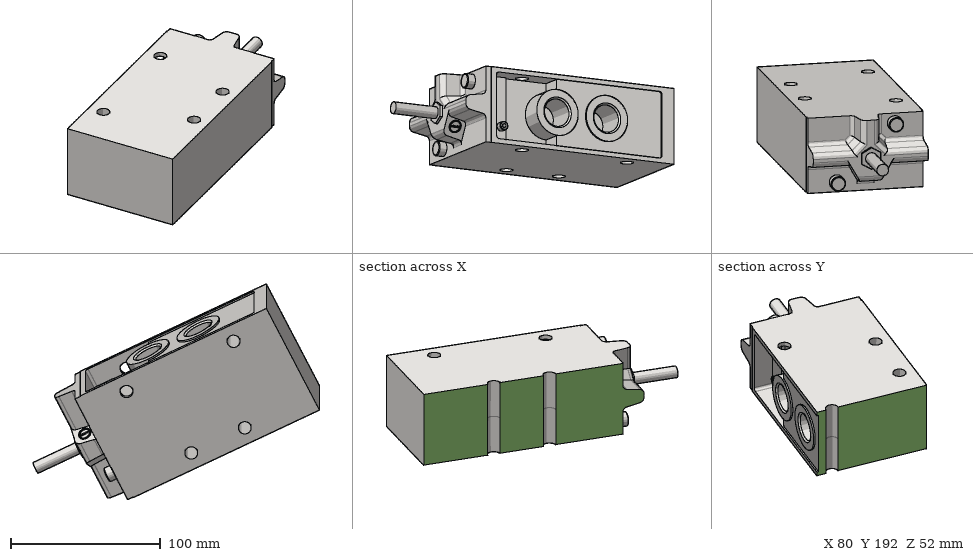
import cadquery as cq
import math

body_width = 80.0
body_length = 139.0
height = 52.0
total_length = 192.0

cap_width = 79.3
cap_end = 143.0
rib_end = 158.2
rib_draft = 10.0
x_arm_half = 7.1
top_arm_half = 8.5
web_distance = 14.2
web_half_length = 5.5
lower_hub_depth = 18.6
lower_face_tilt = 30.0
lower_hub_half = 5.8
rib_tip_fillet = 3.8
rib_root_fillet = 2.9

cable_diameter = 8.0
gland_across_corners = 15.0
gland_end = 160.0

cap_screw_diameter = 10.0
cap_screw_height = 5.8
cap_screw_chamfer = 0.5
cap_screw_x = 20.0
cap_screw_z = 19.2
slot_screw_diameter = 8.6
slot_screw_y = 150.3
slot_screw_z = -10.5
slot_screw_gap_depth = 0.8
slot_head_diameter = 7.5
slot_width = 1.2
slot_depth = 2.0

recess_start = 9.2
recess_end = 135.0
recess_height = 45.7
recess_corner = 2.0
panel_depth = 1.2
ledge_depth = 13.5
pocket_depth = 16.1
ledge_start = 120.5

port_positions = (51.0, 88.7)
port_boss_diameter = 31.5
port_diameter = 18.6
port_chamfer = 1.2
port_depth = 23.0

button_diameter = 6.0
button_tip_diameter = 5.0
button_hole_diameter = 2.5
button_height = 4.6
button_y = 124.5
button_z = -11.1

mount_diameter = 8.6
mount_x = 29.0
mount_points = [(-mount_x, 30.0), (-mount_x, 109.8), (mount_x, 50.3), (mount_x, 90.2)]

side_x = -body_width / 2


def y_block(width, tall, start, end):
    """Box centred on X and Z that spans start to end along Y."""
    return cq.Workplane("XY").box(width, end - start, tall).translate((0, (start + end) / 2, 0))


def y_plane(y):
    """Workplane facing +Y whose local axes are -X and +Z."""
    return cq.Workplane(cq.Plane(origin=(0, y, 0), xDir=(-1, 0, 0), normal=(0, 1, 0)))


def side_cylinder(diameter, y, z, start_depth, end_depth):
    """Cylinder along X between two depths below the -X side."""
    plane = cq.Plane(origin=(side_x + start_depth, y, z), xDir=(0, 1, 0), normal=(1, 0, 0))
    return cq.Workplane(plane).circle(diameter / 2).extrude(end_depth - start_depth)


def recess_layer(start, end, depth):
    """Part of the rounded recess between two Y positions, cut to one depth."""
    outline = y_block(2 * depth, recess_height, recess_start, recess_end)
    outline = outline.edges("|X").fillet(recess_corner).translate((side_x, 0, 0))
    return outline.intersect(y_block(2 * body_width, height, start, end))


def make_body():
    body = y_block(body_width, height, 0, body_length)
    pocket_start = port_positions[1]
    recess = recess_layer(recess_start, pocket_start, panel_depth)
    recess = recess.union(recess_layer(pocket_start, ledge_start, pocket_depth))
    recess = recess.union(recess_layer(ledge_start, recess_end, ledge_depth))
    body = body.cut(recess)
    body = body.cut(cq.Workplane("XY").pushPoints(mount_points).circle(mount_diameter / 2)
                    .extrude(height, both=True))
    for y in port_positions:
        boss = side_cylinder(port_boss_diameter, y, 0, 0, pocket_depth)
        port = side_cylinder(port_diameter, y, 0, 0, port_depth)
        mouth = side_cylinder(port_diameter + 2 * port_chamfer, y, 0, -port_chamfer, port_chamfer)
        mouth = mouth.faces(">X").chamfer(port_chamfer)
        body = body.union(boss).cut(port).cut(mouth)
    return body


def make_button():
    button = side_cylinder(button_diameter, button_y, button_z, ledge_depth - button_height, ledge_depth)
    button = button.faces("<X").chamfer((button_diameter - button_tip_diameter) / 2)
    hole = side_cylinder(button_hole_diameter, button_y, button_z, 0, ledge_depth)
    return button.cut(hole)


def flank(half_width, direction, start, end):
    """Drafted half-rib on the cap face, rounded at tip and root.

    It is half_width wide at its root, towards the given angle in the XZ plane (0 = +X, 90 = +Z),
    and runs from start to end along the line square to that direction.
    """
    draft = math.radians(rib_draft)
    rise = rib_end - cap_end
    corner = (math.pi / 2 - draft) / 2
    root_run = rib_root_fillet * math.tan(corner)
    tip_run = rib_tip_fillet * math.tan(corner)
    tip_half_width = half_width - rise * math.tan(draft)

    angle = math.radians(direction)
    outward = (math.cos(angle), 0, math.sin(angle))
    along = (-math.sin(angle), 0, math.cos(angle))
    origin = (start * along[0], cap_end, start * along[2])
    plane = cq.Plane(origin=origin, xDir=outward, normal=along)
    root_edge = half_width - root_run * math.sin(draft)
    tip_edge = tip_half_width + tip_run * math.sin(draft)
    embed = cap_end - body_length
    profile = (
        cq.Workplane(plane)
        .moveTo(0, -embed)
        .lineTo(half_width + root_run, -embed)
        .lineTo(half_width + root_run, 0)
        .radiusArc((root_edge, root_run * math.cos(draft)), rib_root_fillet)
        .lineTo(tip_edge, rise - tip_run * math.cos(draft))
        .radiusArc((tip_half_width - tip_run, rise), -rib_tip_fillet)
        .lineTo(0, rise)
        .close()
    )
    return profile.extrude(end - start)


def make_lower_hub():
    """Hub below the side arms, narrowed by two sloping faces parallel to Y."""
    wide = lower_hub_half + lower_hub_depth * math.tan(math.radians(lower_face_tilt))
    hub = flank(lower_hub_depth, -90, -wide, wide)
    limit = [
        (-wide, 0),
        (wide, 0),
        (lower_hub_half, -lower_hub_depth),
        (lower_hub_half, -height),
        (-lower_hub_half, -height),
        (-lower_hub_half, -lower_hub_depth),
    ]
    return hub.intersect(y_plane(body_length).polyline(limit).close().extrude(rib_end - body_length))


def cut_slot_screw(cap):
    """Cut the ring gap and driver slot of the flush screw into the sloping face on the -X side."""
    tilt = math.radians(lower_face_tilt)
    spread = (lower_hub_depth + slot_screw_z) * math.tan(tilt)
    plane = cq.Plane(
        origin=(-lower_hub_half - spread, slot_screw_y, slot_screw_z),
        xDir=(0, 1, 0),
        normal=(-math.cos(tilt), 0, -math.sin(tilt)),
    )
    face = cq.Workplane(plane)
    gap = face.circle(slot_screw_diameter / 2).circle(slot_head_diameter / 2).extrude(-slot_screw_gap_depth)
    slot = face.rect(slot_head_diameter, slot_width).extrude(-slot_depth)
    return cap.cut(gap).cut(slot)


def cap_screw(x, z):
    screw = y_plane(cap_end).center(-x, z).circle(cap_screw_diameter / 2).extrude(cap_screw_height)
    return screw.faces(">Y").chamfer(cap_screw_chamfer)


def make_cap():
    cap = y_block(cap_width, height, body_length, cap_end)
    half_cap = cap_width / 2
    cap = cap.union(flank(x_arm_half, 90, -half_cap, half_cap))
    cap = cap.union(flank(x_arm_half, -90, -half_cap, half_cap))
    cap = cap.union(flank(top_arm_half, 0, 0, height / 2))
    cap = cap.union(flank(top_arm_half, 180, -height / 2, 0))
    for direction in (45, 135):
        cap = cap.union(flank(web_distance, direction, -web_half_length, web_half_length))
    cap = cut_slot_screw(cap.union(make_lower_hub()))
    cap = cap.union(cap_screw(-cap_screw_x, cap_screw_z))
    return cap.union(cap_screw(cap_screw_x, -cap_screw_z))


def make_cable():
    gland = y_plane(rib_end).transformed(rotate=(0, 0, 90)).polygon(6, gland_across_corners)
    gland = gland.extrude(gland_end - rib_end)
    cable = y_plane(rib_end).circle(cable_diameter / 2).extrude(total_length - rib_end)
    return gland.union(cable)


result = make_body().union(make_button()).union(make_cap()).union(make_cable())